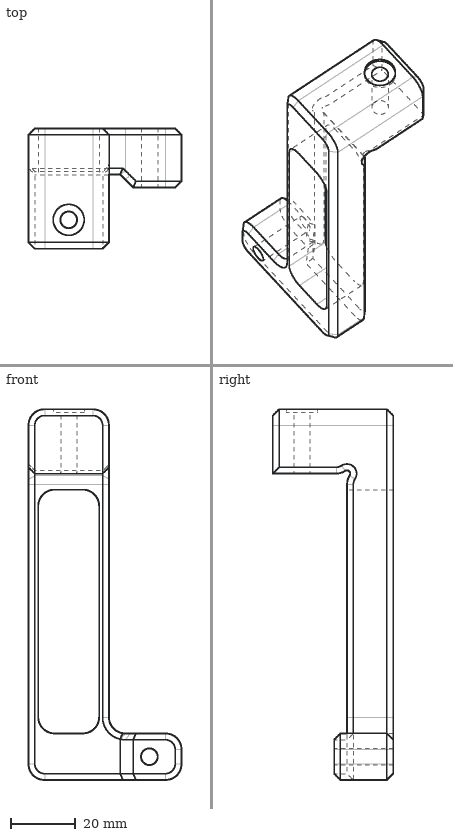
import cadquery as cq
import math

total_height = 115.0
column_width = 25.0
total_width = 47.5

column_depth = 14.36
overhang_reach = 23.0
foot_step = 4.0
arm_depth = column_depth + overhang_reach
foot_depth = column_depth + foot_step

arm_height = 20.0
arm_bottom = total_height - arm_height
foot_height = 14.5
foot_pad_length = 15.0
foot_pad_start = total_width - foot_pad_length

corner_radius = 5.0
edge_chamfer = 2.0

relief_radius = 1.0
relief_blend_radius = 5.0

window_side_wall = 3.1
window_top_wall = 25.0
window_radius = 5.0

hole_diameter = 5.1
counterbore_diameter = 9.6
counterbore_depth = 1.0
arm_hole_reach = 14.0
foot_hole_end_distance = 10.0
foot_hole_x = total_width - foot_hole_end_distance

pick_margin = 0.01


def make_silhouette():
    """L-shaped XZ outline with rounded corners, as deep as the arm."""
    outline = [
        (0, 0),
        (total_width, 0),
        (total_width, foot_height),
        (column_width, foot_height),
        (column_width, total_height),
        (0, total_height),
    ]
    block = cq.Workplane("XZ").polyline(outline).close().extrude(arm_depth)
    return block.edges("|Y").fillet(corner_radius)


def make_side_profile():
    """YZ profile of column and arm, with a round relief blended into their inner corner."""
    corner_y = -column_depth
    corner_z = arm_bottom

    centre_distance = relief_radius + relief_blend_radius
    blend_reach = math.sqrt(centre_distance**2 - relief_blend_radius**2)
    touch_inset = relief_radius * relief_blend_radius / centre_distance
    touch_reach = relief_radius * blend_reach / centre_distance
    half_sweep = math.atan2(blend_reach, relief_blend_radius) / 2
    middle_inset = relief_blend_radius * (1 - math.cos(half_sweep))
    middle_reach = blend_reach - relief_blend_radius * math.sin(half_sweep)
    relief_diagonal = relief_radius * math.sqrt(0.5)

    return (
        cq.Workplane("YZ")
        .lineTo(corner_y, 0)
        .lineTo(corner_y, corner_z - blend_reach)
        .threePointArc(
            (corner_y + middle_inset, corner_z - middle_reach),
            (corner_y + touch_inset, corner_z - touch_reach),
        )
        .threePointArc(
            (corner_y + relief_diagonal, corner_z + relief_diagonal),
            (corner_y - touch_reach, corner_z + touch_inset),
        )
        .threePointArc(
            (corner_y - middle_reach, corner_z + middle_inset),
            (corner_y - blend_reach, corner_z),
        )
        .lineTo(-arm_depth, corner_z)
        .lineTo(-arm_depth, total_height)
        .lineTo(0, total_height)
        .close()
        .extrude(total_width)
    )


def chamfer_frame(frame):
    """Chamfer the silhouette edges and both sides of the inner corner.

    The arm's lower front edge and the seams of the relief stay unchamfered.
    """
    under_arm = cq.selectors.BoxSelector(
        (-pick_margin, -arm_depth - pick_margin, foot_height + corner_radius + pick_margin),
        (column_width + pick_margin, -edge_chamfer, arm_bottom + relief_radius),
    )
    plain_edges = frame.edges(under_arm).edges("|X").vals()
    outline = [edge for edge in frame.edges("not(|Y)").vals() if edge not in plain_edges]
    arm_sides = frame.edges(under_arm).edges("|Y").vals()
    return frame.newObject(outline + arm_sides).chamfer(edge_chamfer)


def make_foot_pad():
    """Pad at the end of the foot; its 45 degree slope runs on into the column."""
    slope_end_y = -foot_depth + (foot_pad_start - column_width)
    outline = [
        (column_width, -edge_chamfer),
        (column_width, slope_end_y),
        (foot_pad_start, -foot_depth),
        (total_width, -foot_depth),
        (total_width, -edge_chamfer),
    ]
    plan = cq.Workplane("XY").polyline(outline).close().extrude(foot_height + corner_radius)
    pad = make_silhouette().intersect(plan)

    front = cq.selectors.BoxSelector(
        (column_width + pick_margin, -foot_depth - pick_margin, -pick_margin),
        (total_width + pick_margin, -edge_chamfer - pick_margin, total_height),
    )
    slope_end = [edge for edge in pad.edges("|Z").vals() if edge.Center().x < foot_pad_start + pick_margin]
    front_outline = [edge for edge in pad.edges(front).edges("not(|Y)").vals() if edge not in slope_end]
    return pad.newObject(front_outline).chamfer(edge_chamfer)


def cut_window(body):
    """Cut the rounded rectangular window through the column."""
    width = column_width - 2 * window_side_wall
    height = total_height - window_top_wall - foot_height
    window = (
        cq.Workplane("XZ", origin=(column_width / 2, 0, foot_height + height / 2))
        .rect(width, height)
        .extrude(column_depth)
        .edges("|Y")
        .fillet(window_radius)
    )
    return body.cut(window)


def cut_screw_holes(body):
    """Cut a counterbored vertical hole in the arm and a plain hole through the foot."""
    arm_top = cq.Workplane("XY", origin=(column_width / 2, -column_depth - arm_hole_reach, total_height))
    arm_hole = arm_top.circle(hole_diameter / 2).extrude(-arm_height)
    counterbore = arm_top.circle(counterbore_diameter / 2).extrude(-counterbore_depth)

    foot_back = cq.Workplane("XZ", origin=(foot_hole_x, 0, foot_height / 2))
    foot_hole = foot_back.circle(hole_diameter / 2).extrude(foot_depth)
    return body.cut(arm_hole).cut(counterbore).cut(foot_hole)


frame = chamfer_frame(make_silhouette().intersect(make_side_profile()))
result = cut_screw_holes(cut_window(frame.union(make_foot_pad())))